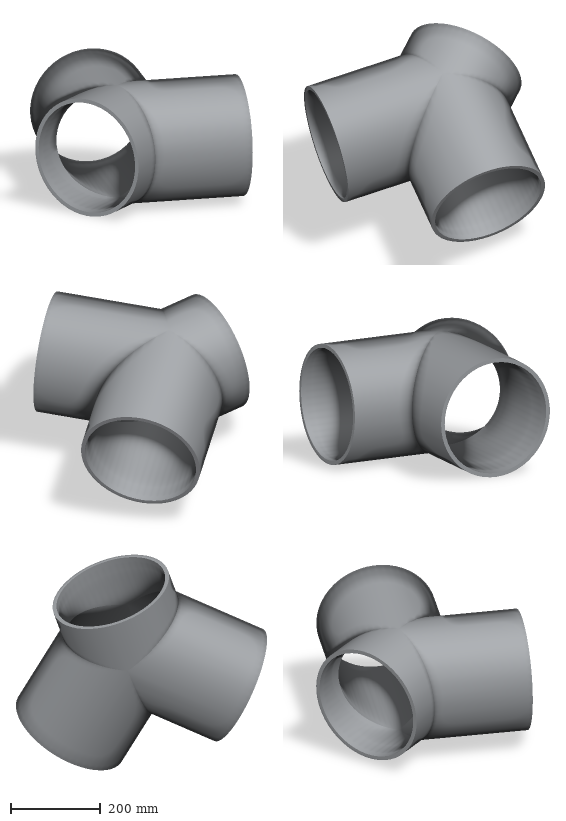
import cadquery as cq
import math

overall_width = 588.0
overall_depth = 421.0
outer_diameter = 273.0
bore_diameter = 254.5
branch_angle = 45.0

angle = math.radians(branch_angle)
outer_radius = outer_diameter / 2
branch_length = (overall_width / 2 - outer_radius * math.cos(angle)) / math.sin(angle)
branch_reach = branch_length * math.cos(angle) + outer_radius * math.sin(angle)
inlet_length = overall_depth - branch_reach


def cylinder(diameter, length, direction):
    """Solid cylinder running from the origin along the given direction."""
    return cq.Workplane(
        cq.Solid.makeCylinder(diameter / 2, length, cq.Vector(0, 0, 0), cq.Vector(*direction))
    )


def wye(diameter):
    """Inlet and two branches of one diameter, joined at the origin."""
    body = cylinder(diameter, inlet_length, (0, -1, 0))
    for side in (-1, 1):
        direction = (side * math.sin(angle), math.cos(angle), 0)
        body = body.union(cylinder(diameter, branch_length, direction))
    return body


result = wye(outer_diameter).cut(wye(bore_diameter))